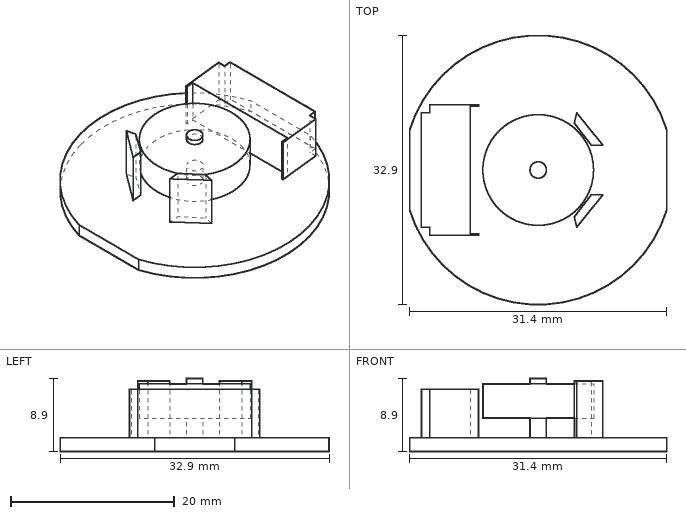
import cadquery as cq

plate_diameter = 32.88
plate_width = 31.4
plate_thickness = 1.7

post_diameter = 2.0
post_top = 8.9
knob_diameter = 13.5
knob_bottom = 4.08
knob_top = 8.25

connector_top = 7.63
connector_left = -14.25
connector_length = 15.9
connector_depth = 6.97
corner_notch = 1.0
recess_depth = 1.02
recess_wall = 0.2

clip_top = 8.6
clip_outline = [(4.7, 6.97), (4.4, 5.72), (6.48, 3.02), (7.9, 3.02)]


def make_plate():
    """Disc trimmed by flats on the -X and +X sides."""
    disc = cq.Workplane("XY").circle(plate_diameter / 2).extrude(plate_thickness)
    trim = cq.Workplane("XY").rect(plate_width, plate_diameter).extrude(plate_thickness)
    return disc.intersect(trim)


def make_knob():
    """Post standing on the plate, with the wider knob held above it."""
    post = cq.Workplane("XY").circle(post_diameter / 2).extrude(post_top)
    knob = (
        cq.Workplane("XY")
        .workplane(offset=knob_bottom)
        .circle(knob_diameter / 2)
        .extrude(knob_top - knob_bottom)
    )
    return post.union(knob)


def make_connector():
    """Block with notched rear corners and a full-height recess facing the knob."""
    right = connector_left + connector_depth
    shoulder = connector_left + corner_notch
    recess_floor = right - recess_depth
    half_length = connector_length / 2
    half_back = half_length - corner_notch
    half_recess = half_length - recess_wall
    half_outline = [
        (connector_left, half_back),
        (shoulder, half_back),
        (shoulder, half_length),
        (right, half_length),
        (right, half_recess),
        (recess_floor, half_recess),
    ]
    mirrored_outline = [(x, -y) for x, y in reversed(half_outline)]
    return (
        cq.Workplane("XY")
        .workplane(offset=plate_thickness)
        .polyline(half_outline + mirrored_outline)
        .close()
        .extrude(connector_top - plate_thickness)
    )


def make_clip(side):
    """Upright clip on the +Y (side = 1) or -Y (side = -1) half."""
    outline = [(x, side * y) for x, y in clip_outline]
    return (
        cq.Workplane("XY")
        .workplane(offset=plate_thickness)
        .polyline(outline)
        .close()
        .extrude(clip_top - plate_thickness)
    )


result = make_plate().union(make_knob()).union(make_connector())
for side in (1, -1):
    result = result.union(make_clip(side))